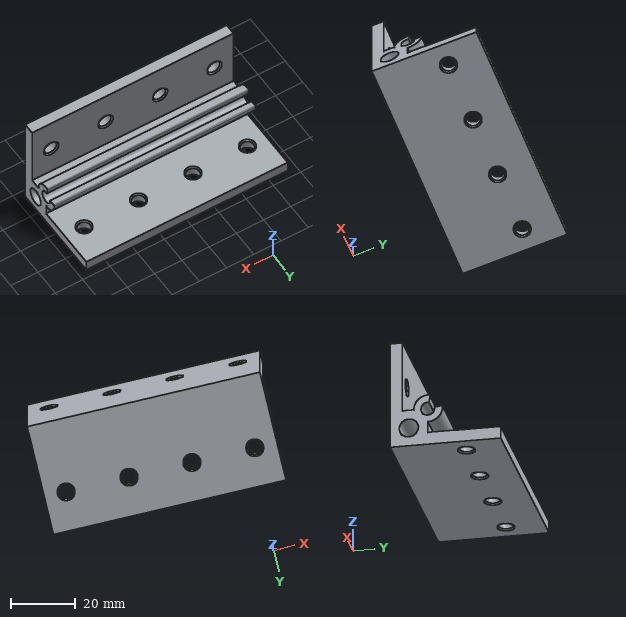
import cadquery as cq
import math

length = 74.0
leg = 35.0
thickness = 4.0
corner_block = 12.0
bore_diameter = 6.0

clip_outer_radius = 4.5
clip_outer_offset = 0.15
clip_inner_radius = 2.15
clip_opening_angle = 70.0
clip_tip_round = 0.3

hole_count = 4
hole_pitch = 20.0
hole_height = 22.8
hole_diameter = 4.5
hole_chamfer = 0.48

first_hole_x = (length - (hole_count - 1) * hole_pitch) / 2
hole_positions = [first_hole_x + i * hole_pitch for i in range(hole_count)]


def extrusion(y, z):
    """Start a profile in the YZ plane with its origin at (y, z)."""
    return cq.Workplane("YZ", origin=(0, y, z))


def polar(radius, angle):
    """Point at the given radius and angle in degrees."""
    return (radius * math.cos(math.radians(angle)), radius * math.sin(math.radians(angle)))


def make_clip():
    """Disc with an open wedge facing away from the angle's corner, and rounded outer tips."""
    outer_centre = corner_block + clip_outer_offset
    wedge_reach = 2 * clip_outer_radius
    tip_angles = (45 - clip_opening_angle / 2, 45 + clip_opening_angle / 2)
    wedge = (
        extrusion(corner_block, corner_block)
        .lineTo(*polar(wedge_reach, tip_angles[0]))
        .lineTo(*polar(wedge_reach, tip_angles[1]))
        .close()
        .extrude(length)
    )
    clip = extrusion(outer_centre, outer_centre).circle(clip_outer_radius).extrude(length).cut(wedge)
    for angle in tip_angles:
        y, z = polar(clip_outer_radius + clip_outer_offset, angle)
        near_tip = (length / 2, corner_block + y, corner_block + z)
        clip = clip.edges("|X").edges(cq.selectors.NearestToPointSelector(near_tip)).fillet(clip_tip_round)
    return clip


def make_hole_cutter(x):
    """Vertical hole through the lower leg with a chamfer at each face."""
    radius = hole_diameter / 2
    wide_radius = radius + hole_chamfer
    return (
        cq.Workplane("XZ", origin=(x, hole_height, 0))
        .polyline([
            (0, 0),
            (wide_radius, 0),
            (radius, hole_chamfer),
            (radius, thickness - hole_chamfer),
            (wide_radius, thickness),
            (0, thickness),
        ])
        .close()
        .revolve(360, (0, 0), (0, 1))
    )


def swap_y_and_z(cutter):
    """Mirror about the plane y = z, taking the lower leg to the upright leg."""
    return cutter.rotate((0, 0, 0), (0, 1, 1), 180).mirror("YZ")


angle_profile = [
    (0, 0),
    (leg, 0),
    (leg, thickness),
    (corner_block, thickness),
    (corner_block, corner_block),
    (thickness, corner_block),
    (thickness, leg),
    (0, leg),
]
result = extrusion(0, 0).polyline(angle_profile).close().extrude(length)

result = result.union(make_clip())
result = result.cut(extrusion(corner_block, corner_block).circle(clip_inner_radius).extrude(length))

bore_centre = corner_block / 2
result = result.cut(extrusion(bore_centre, bore_centre).circle(bore_diameter / 2).extrude(length))

for hole_x in hole_positions:
    lower_cutter = make_hole_cutter(hole_x)
    result = result.cut(lower_cutter).cut(swap_y_and_z(lower_cutter))